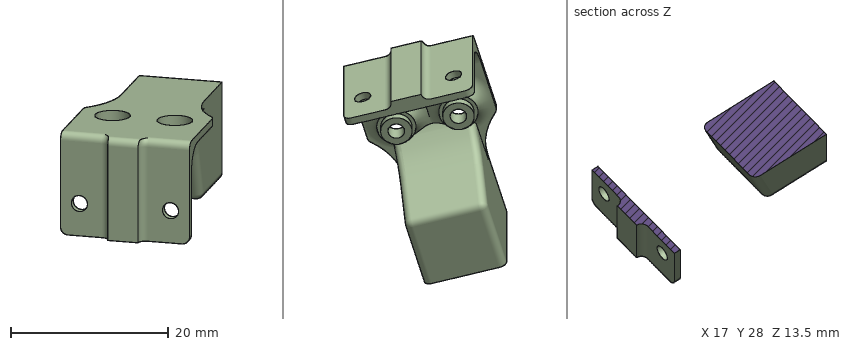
import math

import cadquery as cq

width = 17.0
length = 28.0
height = 13.5
wall = 1.0

neck_width = 10.9
neck_start_y = 19.25
taper_radius = 9.0
shoulder_radius = 1.0

flange_front_y = 1.0
flange_back_y = flange_front_y + wall
flange_inner_radius = 3.0
flange_outer_radius = 1.0
flange_corner_radius = 1.0
rib_width = 4.0
flange_hole_diameter = 2.1
flange_hole_spacing = 12.0
flange_hole_z = -9.2

boss_spacing = 8.2
boss_y = 10.08
boss_diameter = 5.0
boss_step_z = -3.2
boss_tip_diameter = 4.0
boss_tip_z = -4.2
boss_flare_radius = 2.0
counterbore_diameter = 4.5
counterbore_z = -2.0
screw_hole_diameter = 2.1

block_bottom_z = -13.0
block_foot_y = 18.5
block_slope = math.radians(19.8)
block_arc_start_z = -6.5
block_arc_radius = 12.0
block_edge_radius = 1.0


def mirrored(half):
    """Join a half shape to its mirror image across the YZ plane."""
    return half.union(half.mirror("YZ"))


def make_plan():
    """Plan outline as a full-height prism, drawn as its right half and mirrored."""
    half_width = width / 2
    half_neck = neck_width / 2
    sweep = math.acos(1 - (half_width - half_neck) / taper_radius)
    mid_point = (
        half_neck + taper_radius * (1 - math.cos(sweep / 2)),
        neck_start_y - taper_radius * math.sin(sweep / 2),
    )
    shoulder_y = neck_start_y - taper_radius * math.sin(sweep)
    half = (
        cq.Workplane("XY")
        .moveTo(0, 0)
        .lineTo(half_width, 0)
        .lineTo(half_width, shoulder_y)
        .threePointArc(mid_point, (half_neck, neck_start_y))
        .lineTo(half_neck, length)
        .lineTo(0, length)
        .close()
        .extrude(-height)
    )
    shoulder = cq.selectors.NearestToPointSelector((half_width, shoulder_y, -height / 2))
    return mirrored(half.edges(shoulder).fillet(shoulder_radius))


def make_angle(front_y, part_width):
    """Plate and flange in one bend, with the flange's outer face at front_y."""
    return (
        cq.Workplane("YZ")
        .moveTo(front_y, -height)
        .lineTo(front_y, -flange_outer_radius)
        .radiusArc((front_y + flange_outer_radius, 0), flange_outer_radius)
        .lineTo(length, 0)
        .lineTo(length, -wall)
        .lineTo(flange_back_y + flange_inner_radius, -wall)
        .radiusArc((flange_back_y, -wall - flange_inner_radius), -flange_inner_radius)
        .lineTo(flange_back_y, -height)
        .close()
        .extrude(part_width / 2, both=True)
    )


def round_flange_corners(body):
    """Round the two lower outer corners of the flange."""
    for side in (-1, 1):
        corner = (side * width / 2, (flange_front_y + flange_back_y) / 2, -height)
        body = body.edges(cq.selectors.NearestToPointSelector(corner)).fillet(flange_corner_radius)
    return body


def make_rib_blend():
    """Concave blend between the rib's right side and the flange, swept around the top bend.

    The blend is trimmed so that it stays behind the rib's own rounded outline.
    """
    blend_radius = flange_front_y
    inner = rib_width / 2
    outer = inner + blend_radius
    path = (
        cq.Workplane("YZ")
        .moveTo(flange_front_y, -height)
        .lineTo(flange_front_y, -flange_outer_radius)
        .radiusArc((flange_front_y + flange_outer_radius, 0), flange_outer_radius)
    )
    blend = (
        cq.Workplane("XY", origin=(0, 0, -height))
        .moveTo(inner, flange_front_y)
        .lineTo(inner, 0)
        .radiusArc((outer, flange_front_y), blend_radius)
        .close()
        .sweep(path)
    )
    return blend.intersect(make_angle(0, 2 * outer))


def make_block():
    """Solid rear block with rounded lower and front edges."""
    start_y = block_foot_y - (block_arc_start_z - block_bottom_z) * math.tan(block_slope)
    center_y = start_y - block_arc_radius * math.cos(block_slope)
    center_z = block_arc_start_z - block_arc_radius * math.sin(block_slope)
    top_z = -wall / 2
    top_angle = math.asin((top_z - center_z) / block_arc_radius)
    mid_angle = (block_slope + top_angle) / 2

    def arc_point(angle):
        return (
            center_y + block_arc_radius * math.cos(angle),
            center_z + block_arc_radius * math.sin(angle),
        )

    block = (
        cq.Workplane("YZ")
        .moveTo(length, block_bottom_z)
        .lineTo(block_foot_y, block_bottom_z)
        .lineTo(start_y, block_arc_start_z)
        .threePointArc(arc_point(mid_angle), arc_point(top_angle))
        .lineTo(length, top_z)
        .close()
        .extrude(neck_width / 2, both=True)
    )
    lower_edges = block.faces("<Z").edges("not >Y")
    front_edges = block.faces("not(>Y or >Z or <Z or <X or >X)").edges("<X or >X")
    return block.newObject(lower_edges.vals() + front_edges.vals()).fillet(block_edge_radius)


def make_boss(x):
    """Stepped boss whose upper part flares out into the plate."""
    radius = boss_diameter / 2
    root_z = -wall / 2
    flare_end = (radius + boss_flare_radius, -wall)
    flare_start = (radius, -wall - boss_flare_radius)
    return (
        cq.Workplane("XZ")
        .moveTo(0, root_z)
        .lineTo(flare_end[0], root_z)
        .lineTo(*flare_end)
        .radiusArc(flare_start, -boss_flare_radius)
        .lineTo(radius, boss_step_z)
        .lineTo(boss_tip_diameter / 2, boss_step_z)
        .lineTo(boss_tip_diameter / 2, boss_tip_z)
        .lineTo(0, boss_tip_z)
        .close()
        .revolve(360, (0, 0, 0), (0, 1, 0))
        .translate((x, boss_y, 0))
    )


def make_boss_bore(x):
    """Counterbore from the top face and the screw hole below it."""
    top = cq.Workplane("XY").center(x, boss_y)
    counterbore = top.circle(counterbore_diameter / 2).extrude(counterbore_z)
    return counterbore.union(top.circle(screw_hole_diameter / 2).extrude(boss_tip_z))


def make_flange_hole(x):
    """Hole through the flange only, along Y."""
    return (
        cq.Workplane("XZ", origin=(x, 0, flange_hole_z))
        .circle(flange_hole_diameter / 2)
        .extrude(-flange_back_y)
    )


body = make_angle(flange_front_y, width)
body = body.union(make_angle(0, rib_width))
body = body.union(mirrored(make_rib_blend()))
for side in (-1, 1):
    body = body.union(make_boss(side * boss_spacing / 2))
body = body.intersect(make_plan())
body = round_flange_corners(body)
body = body.union(make_block())
for side in (-1, 1):
    body = body.cut(make_boss_bore(side * boss_spacing / 2))
    body = body.cut(make_flange_hole(side * flange_hole_spacing / 2))

result = body